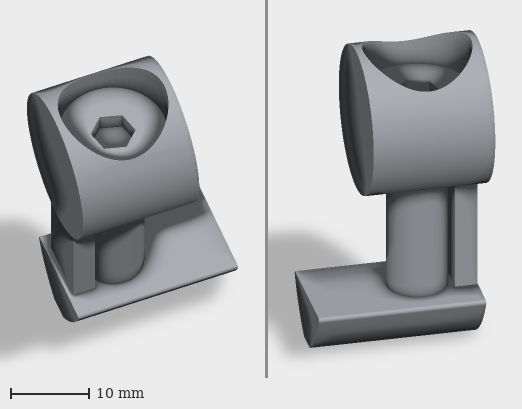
import cadquery as cq
import math

barrel_diameter = 19.7
barrel_length = 16.0

seat_diameter = 14.2
seat_floor_z = 3.45
head_diameter = 14.0
head_gap_depth = 1.0
socket_across_flats = 5.0
socket_sides = 6
socket_depth = 2.5
socket_angle = 15.0

shank_diameter = 8.0

key_width = shank_diameter
key_thickness = 2.95
key_shank_gap = 0.05
key_foot_gap = 1.0

overall_height = 41.35
foot_height = 6.9
foot_front_y = -7.5
foot_back_y = 14.5
foot_top_width = 14.2
foot_bottom_width = 3.2
foot_lip_radius = 0.4
foot_flank_bulge = 0.6

barrel_radius = barrel_diameter / 2
foot_bottom_z = barrel_radius - overall_height
foot_top_z = foot_bottom_z + foot_height


def make_barrel():
    return cq.Workplane("XZ").circle(barrel_radius).extrude(barrel_length / 2, both=True)


def make_shank():
    return cq.Workplane("XY").workplane(offset=foot_top_z).circle(shank_diameter / 2).extrude(-foot_top_z)


def make_key():
    key_bottom_z = foot_top_z + key_foot_gap
    key_back_y = -shank_diameter / 2 - key_shank_gap
    return (
        cq.Workplane("XY")
        .workplane(offset=key_bottom_z)
        .center(0, key_back_y - key_thickness / 2)
        .rect(key_width, key_thickness)
        .extrude(-key_bottom_z)
    )


def make_foot():
    top_x = foot_top_width / 2
    bottom_x = foot_bottom_width / 2

    run = top_x - bottom_x
    chord = math.hypot(run, foot_height)
    flank_x = (top_x + bottom_x) / 2 + foot_flank_bulge * foot_height / chord
    flank_z = (foot_top_z + foot_bottom_z) / 2 - foot_flank_bulge * run / chord

    foot = (
        cq.Workplane("XZ", origin=(0, foot_back_y, 0))
        .moveTo(-top_x, foot_top_z)
        .lineTo(top_x, foot_top_z)
        .threePointArc((flank_x, flank_z), (bottom_x, foot_bottom_z))
        .lineTo(-bottom_x, foot_bottom_z)
        .threePointArc((-flank_x, flank_z), (-top_x, foot_top_z))
        .close()
        .extrude(foot_back_y - foot_front_y)
    )
    return foot.faces(">Z").edges("|Y").fillet(foot_lip_radius)


def make_seat_cut():
    floor = cq.Workplane("XY").workplane(offset=seat_floor_z)
    bore = floor.circle(seat_diameter / 2).extrude(barrel_radius - seat_floor_z)
    head_gap = floor.circle(seat_diameter / 2).circle(head_diameter / 2).extrude(-head_gap_depth)
    socket_corner_diameter = socket_across_flats / math.cos(math.pi / socket_sides)
    socket = (
        floor.transformed(rotate=(0, 0, socket_angle))
        .polygon(socket_sides, socket_corner_diameter)
        .extrude(-socket_depth)
    )
    return bore.union(head_gap).union(socket)


body = make_barrel().union(make_shank()).union(make_key()).union(make_foot())
result = body.cut(make_seat_cut())